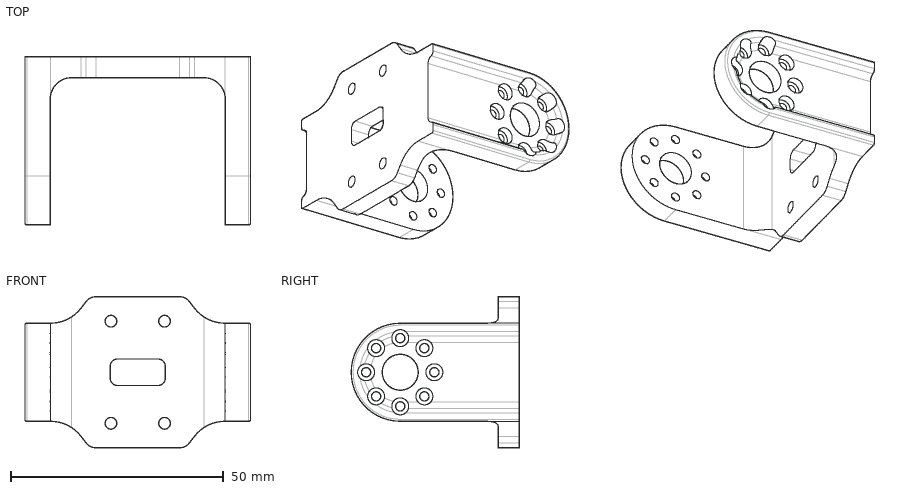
import cadquery as cq
import math

WIDTH = 53.1
DEPTH = 39.6
HEIGHT = 35.6
PLATE_THICKNESS = 5.0
ARM_THICKNESS = 6.0
ARM_HEIGHT = 23.1
INNER_FILLET = 5.0
ARM_EDGE_FILLET = 0.5

PLATE_CORNER_HALF_WIDTH = 11.25
FLANK_END_HALF_WIDTH = 16.05
PLATE_CORNER_RADIUS = 3.0
FLANK_RADIUS = 9.05

MOUNT_HOLE_DIAMETER = 2.7
MOUNT_SPACING_X = 12.6
MOUNT_SPACING_Z = 24.0
SLOT_LENGTH = 12.85
SLOT_HEIGHT = 6.15
SLOT_RADIUS = 1.6

BORE_DIAMETER = 8.4
BOLT_COUNT = 8
BOLT_CIRCLE_RADIUS = 8.0
BOLT_HOLE_DIAMETER = 2.1
COUNTERBORE_DIAMETER = 4.0
COUNTERBORE_DEPTH = 4.0

RIM_WIDTH = 2.0
RECESS_DEPTH = 2.0
RIM_ROUND = 1.0
FLOOR_ROUND = 1.55

HALF_WIDTH = WIDTH / 2
HALF_HEIGHT = HEIGHT / 2
ARM_RADIUS = ARM_HEIGHT / 2
ARM_INNER_X = HALF_WIDTH - ARM_THICKNESS
AXIS_Y = ARM_RADIUS - DEPTH


def arm_cylinder(diameter, start_x, length, y=AXIS_Y, z=0.0):
    """Cylinder parallel to X, from start_x toward +X."""
    return (
        cq.Workplane("YZ", origin=(start_x, y, z))
        .circle(diameter / 2)
        .extrude(length)
    )


def u_body():
    """Plate and two arms as a U, at full plate height."""
    block = cq.Workplane("XY").box(WIDTH, DEPTH, HEIGHT).translate((0, -DEPTH / 2, 0))
    gap_depth = DEPTH - PLATE_THICKNESS
    gap = (
        cq.Workplane("XY")
        .box(2 * ARM_INNER_X, gap_depth, HEIGHT)
        .translate((0, -PLATE_THICKNESS - gap_depth / 2, 0))
        .edges("|Z and >Y")
        .fillet(INNER_FILLET)
    )
    return block.cut(gap)


def front_outline():
    """Octagon-like plate flowing into the narrower arms, extruded through the full depth."""
    upper = [
        (HALF_WIDTH, ARM_RADIUS),
        (FLANK_END_HALF_WIDTH, ARM_RADIUS),
        (PLATE_CORNER_HALF_WIDTH, HALF_HEIGHT),
        (-PLATE_CORNER_HALF_WIDTH, HALF_HEIGHT),
        (-FLANK_END_HALF_WIDTH, ARM_RADIUS),
        (-HALF_WIDTH, ARM_RADIUS),
    ]
    lower = [(-x, -z) for x, z in upper]
    prism = cq.Workplane("XZ").polyline(upper + lower).close().extrude(DEPTH)
    prism = prism.edges("|Y").edges("<<X[-2] or >>X[-2]").fillet(FLANK_RADIUS)
    return prism.edges("|Y").edges("<Z or >Z").fillet(PLATE_CORNER_RADIUS)


def side_outline():
    """Full-height plate zone plus round-ended arms with softened outer edges."""
    arms = (
        cq.Workplane("YZ", origin=(-HALF_WIDTH, 0, 0))
        .moveTo(0, ARM_RADIUS)
        .lineTo(AXIS_Y, ARM_RADIUS)
        .threePointArc((-DEPTH, 0), (AXIS_Y, -ARM_RADIUS))
        .lineTo(0, -ARM_RADIUS)
        .close()
        .extrude(WIDTH)
    )
    arms = arms.faces("<X or >X").edges("not(|Z)").fillet(ARM_EDGE_FILLET)
    middle = (
        cq.Workplane("XY")
        .box(2 * ARM_INNER_X, DEPTH, HEIGHT)
        .translate((0, -DEPTH / 2, 0))
    )
    return arms.union(middle)


def recess_section():
    """Upper half of the recess cross-section in the -X arm, in the plane of the arm axis."""
    turn = math.acos(1 - RECESS_DEPTH / (RIM_ROUND + FLOOR_ROUND))
    outer_x = -HALF_WIDTH
    floor_x = outer_x + RECESS_DEPTH
    rim_z = ARM_RADIUS - RIM_WIDTH
    meet_z = rim_z - RIM_ROUND * math.sin(turn)
    floor_z = meet_z - FLOOR_ROUND * math.sin(turn)
    meet_x = outer_x + RIM_ROUND * (1 - math.cos(turn))
    rim_middle = (
        outer_x + RIM_ROUND * (1 - math.cos(turn / 2)),
        rim_z - RIM_ROUND * math.sin(turn / 2),
    )
    floor_middle = (
        floor_x - FLOOR_ROUND * (1 - math.cos(turn / 2)),
        floor_z + FLOOR_ROUND * math.sin(turn / 2),
    )
    return (
        cq.Workplane("XZ", origin=(0, AXIS_Y, 0))
        .moveTo(outer_x, 0)
        .lineTo(outer_x, rim_z)
        .threePointArc(rim_middle, (meet_x, meet_z))
        .threePointArc(floor_middle, (floor_x, floor_z))
        .lineTo(floor_x, 0)
        .close()
    )


def recess():
    """Cutter for the -X arm: open at the back face, round at the arm tip."""
    round_end = recess_section().revolve(360, (0, 0, 0), (1, 0, 0))
    upper_half = recess_section().extrude(AXIS_Y)
    return upper_half.union(upper_half.mirror("XY")).union(round_end)


def arm_cutter():
    """Recess, bore and counterbored bolt holes of the -X arm."""
    cutter = recess()
    cutter = cutter.union(arm_cylinder(BORE_DIAMETER, -HALF_WIDTH, ARM_THICKNESS))
    for index in range(BOLT_COUNT):
        angle = 2 * math.pi * index / BOLT_COUNT
        y = AXIS_Y + BOLT_CIRCLE_RADIUS * math.cos(angle)
        z = BOLT_CIRCLE_RADIUS * math.sin(angle)
        hole = arm_cylinder(BOLT_HOLE_DIAMETER, -HALF_WIDTH, ARM_THICKNESS, y, z)
        counterbore = arm_cylinder(COUNTERBORE_DIAMETER, -HALF_WIDTH, COUNTERBORE_DEPTH, y, z)
        cutter = cutter.union(hole).union(counterbore)
    return cutter


def plate_cutter():
    """Four mounting holes and the central rounded slot."""
    holes = (
        cq.Workplane("XZ")
        .rect(MOUNT_SPACING_X, MOUNT_SPACING_Z, forConstruction=True)
        .vertices()
        .circle(MOUNT_HOLE_DIAMETER / 2)
        .extrude(PLATE_THICKNESS)
    )
    slot = (
        cq.Workplane("XZ")
        .rect(SLOT_LENGTH, SLOT_HEIGHT)
        .extrude(PLATE_THICKNESS)
        .edges("|Y")
        .fillet(SLOT_RADIUS)
    )
    return holes.union(slot)


left_cutter = arm_cutter()
result = (
    u_body()
    .intersect(front_outline())
    .intersect(side_outline())
    .cut(plate_cutter())
    .cut(left_cutter)
    .cut(left_cutter.mirror("YZ"))
)